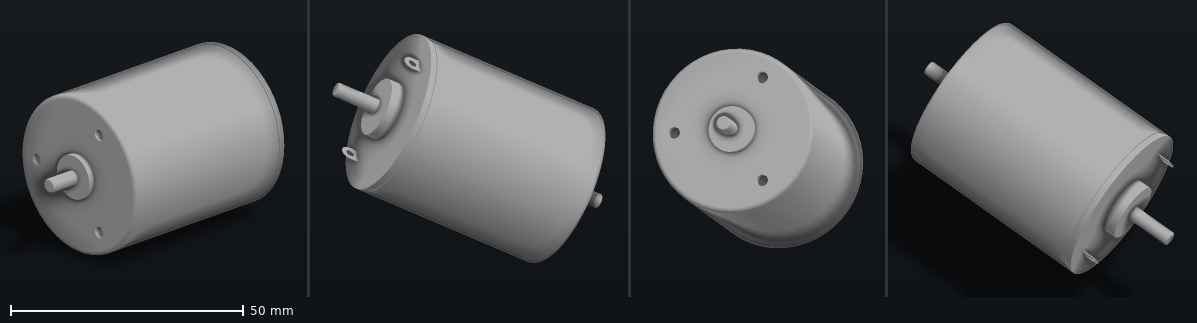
import cadquery as cq
import math

total_length = 66.0
body_length = 44.1
body_diameter = 36.0
front_edge_radius = 1.0

front_shaft_length = 7.2
shaft_diameter = 3.2
shaft_end_radius = 0.4
front_boss_diameter = 10.0
front_boss_height = 1.5
rear_boss_diameter = 13.0
rear_boss_height = 3.0

cap_thickness = 1.4
groove_width = 0.2
groove_diameter = 35.6

mount_hole_count = 3
mount_hole_diameter = 2.5
mount_hole_depth = 3.0
mount_circle_radius = 13.0
drill_point_angle = 118.0

terminal_radius = 13.3
terminal_tilt = -9.7
terminal_width = 3.95
terminal_height = 3.75
terminal_thickness = 0.2
terminal_hole_diameter = 2.0
terminal_root = 0.65

shaft_front = -total_length / 2
boss_front = shaft_front + front_shaft_length
body_front = boss_front + front_boss_height
body_rear = body_front + body_length


def rod(diameter, start, length):
    """Cylinder on the motor axis, running from start toward +Y."""
    plane = cq.Plane(origin=(0, start, 0), xDir=(1, 0, 0), normal=(0, 1, 0))
    return cq.Workplane(plane).circle(diameter / 2).extrude(length)


def make_body():
    """Housing and end cap, separated by a shallow groove."""
    body = rod(body_diameter, body_front, body_length)
    body = body.faces("<Y").edges().fillet(front_edge_radius)
    groove_start = body_rear - cap_thickness - groove_width
    groove = rod(body_diameter, groove_start, groove_width)
    groove = groove.cut(rod(groove_diameter, groove_start, groove_width))
    return body.cut(groove)


def make_shaft():
    shaft = rod(shaft_diameter, shaft_front, total_length)
    return shaft.faces("<Y or >Y").edges().fillet(shaft_end_radius)


def make_mount_hole(angle):
    """Blind drilled hole with a conical bottom, at an angle from +X toward +Z."""
    radius = mount_hole_diameter / 2
    point_depth = radius / math.tan(math.radians(drill_point_angle / 2))
    profile = (
        cq.Workplane("XY")
        .moveTo(0, body_front)
        .lineTo(radius, body_front)
        .lineTo(radius, body_front + mount_hole_depth)
        .lineTo(0, body_front + mount_hole_depth + point_depth)
        .close()
    )
    hole = profile.revolve(360, (0, 0, 0), (0, 1, 0))
    x = mount_circle_radius * math.cos(math.radians(angle))
    z = mount_circle_radius * math.sin(math.radians(angle))
    return hole.translate((x, 0, z))


def make_terminal(angle):
    """Round-ended solder tab facing the motor axis, at an angle from +X toward +Z."""
    radius = terminal_width / 2
    root_y = body_rear - terminal_root
    eye_y = body_rear + terminal_height - radius
    plane = cq.Workplane("YZ", origin=(terminal_radius - terminal_thickness / 2, 0, 0))
    tab = (
        plane.moveTo(root_y, -radius)
        .lineTo(eye_y, -radius)
        .threePointArc((eye_y + radius, 0), (eye_y, radius))
        .lineTo(root_y, radius)
        .close()
        .extrude(terminal_thickness)
    )
    eye = plane.center(eye_y, 0).circle(terminal_hole_diameter / 2).extrude(terminal_thickness)
    return tab.cut(eye).rotate((0, 0, 0), (0, 1, 0), -angle)


result = make_body()
result = result.union(rod(front_boss_diameter, boss_front, front_boss_height))
result = result.union(rod(rear_boss_diameter, body_rear, rear_boss_height))
result = result.union(make_shaft())

for index in range(mount_hole_count):
    result = result.cut(make_mount_hole(180 + index * 360 / mount_hole_count))

for side_angle in (0, 180):
    result = result.union(make_terminal(side_angle + terminal_tilt))